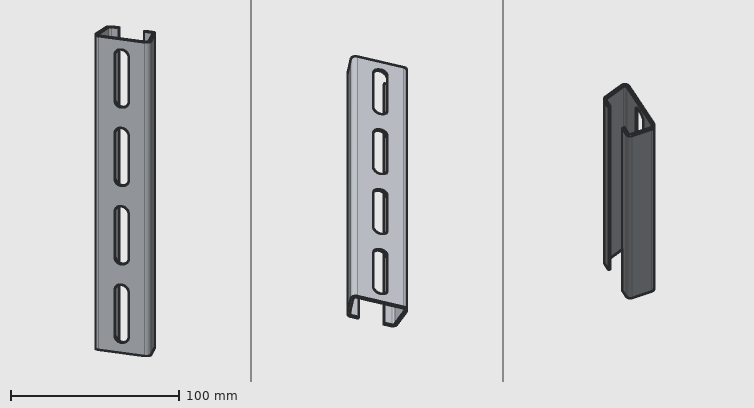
import cadquery as cq
import math

length = 200.0
width = 35.0
depth = 18.0

sheet_thickness = 1.5
outer_bend_radius = 3.0
inner_bend_radius = outer_bend_radius - sheet_thickness
wall_lean = math.radians(9.2)
lip_opening = 16.0

slot_count = 4
slot_pitch = length / slot_count
slot_length = 37.0
slot_width = 9.0

bend_centre_x = width / 2 - outer_bend_radius
bend_centre_y = outer_bend_radius


def rounded_bar(inset, bend_radius):
    """Full-length trapezoidal bar, inset from the outer skin, with rounded long edges."""
    web_y = inset
    lip_y = depth - inset

    def wall_x(y):
        x_at_bend_centre = bend_centre_x + bend_radius / math.cos(wall_lean)
        return x_at_bend_centre - (y - bend_centre_y) * math.tan(wall_lean)

    corners = [
        (-wall_x(web_y), web_y),
        (wall_x(web_y), web_y),
        (wall_x(lip_y), lip_y),
        (-wall_x(lip_y), lip_y),
    ]
    bar = cq.Workplane("XY").polyline(corners).close().extrude(length)
    return bar.edges("|Z").fillet(bend_radius)


def lip_gap():
    """Full-length opening between the two lips."""
    return (
        cq.Workplane("XY")
        .center(0, depth)
        .rect(lip_opening, depth)
        .extrude(length)
    )


def web_slots():
    """Round-ended slots through the web, evenly spaced along the length."""
    return (
        cq.Workplane("XZ")
        .center(0, length / 2)
        .rarray(2, slot_pitch, 1, slot_count)
        .slot2D(slot_length, slot_width, angle=90)
        .extrude(-sheet_thickness)
    )


outer_bar = rounded_bar(0, outer_bend_radius)
inner_bar = rounded_bar(sheet_thickness, inner_bend_radius)
result = outer_bar.cut(inner_bar).cut(lip_gap()).cut(web_slots())